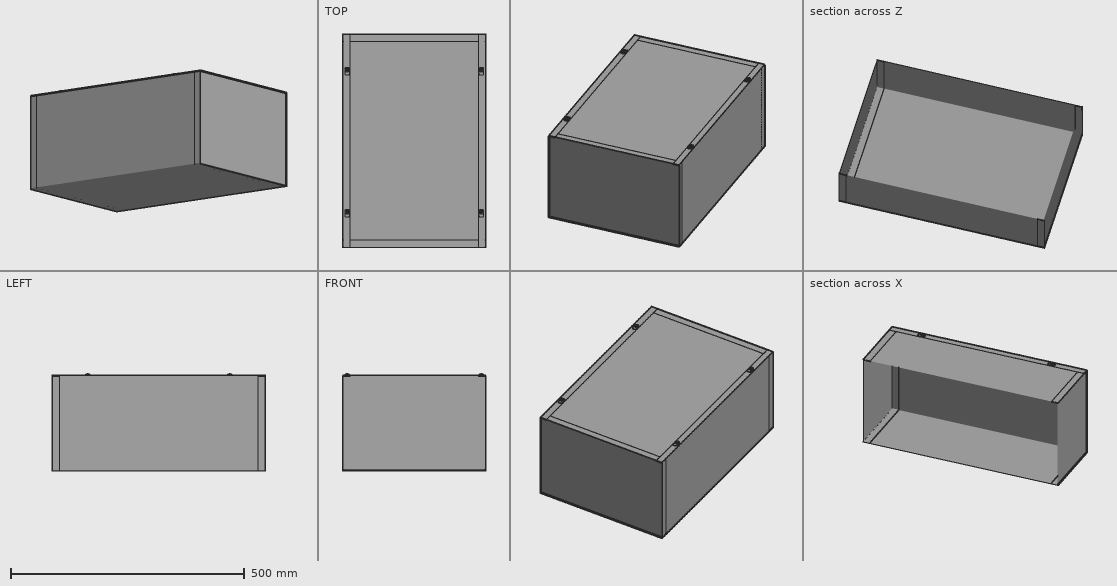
import cadquery as cq
import math

BOX_WIDTH = 308.0
BOX_LENGTH = 457.0
OVERALL_HEIGHT = 209.0
SHEET = 1.5
WRAPPER_BEND = 2.5
PANEL_BEND = 2.0
PANEL_LIFT = 0.5
FLANGE = 16.0

HEAD_DIAMETER = 9.5
HEAD_HEIGHT = 2.7
HEAD_RIM = 0.7
SHANK_DIAMETER = 3.75
SHANK_REACH = 4.5
CROSS_WIDTH = 0.5
CROSS_LENGTH = 7.5
CROSS_DEPTH = 1.5
SCREW_X = 144.0
SCREW_Y = 152.2

HOLE_DIAMETER = 4.15
SLOT_WIDTH = 9.5
SLOT_LENGTH = 16.0
SLOT_CORNER_RADIUS = 2.7

COVER_TOP = OVERALL_HEIGHT - HEAD_HEIGHT
BOX_HEIGHT = COVER_TOP - SHEET
COVER_INSET = 1.6
COVER_WIDTH = BOX_WIDTH - 2 * COVER_INSET
SCREW_POINTS = [(x, y) for x in (-SCREW_X, SCREW_X) for y in (-SCREW_Y, SCREW_Y)]


def block(width, length, height, bottom):
    """A box centred on the Z axis, standing on the level `bottom`."""
    return cq.Workplane("XY").workplane(offset=bottom).box(width, length, height, centered=(True, True, False))


def make_wrapper():
    """The sheet folded into the floor, the two long sides and their return flanges."""
    outside = block(BOX_WIDTH, BOX_LENGTH, BOX_HEIGHT, 0).edges("|Y").fillet(WRAPPER_BEND)
    inside = block(BOX_WIDTH - 2 * SHEET, BOX_LENGTH, BOX_HEIGHT - 2 * SHEET, SHEET)
    inside = inside.edges("|Y").fillet(WRAPPER_BEND - SHEET)
    opening = block(BOX_WIDTH - 2 * FLANGE, BOX_LENGTH, 2 * SHEET, BOX_HEIGHT - 2 * SHEET)
    holes = (
        cq.Workplane("XY")
        .workplane(offset=BOX_HEIGHT - 2 * SHEET)
        .pushPoints(SCREW_POINTS)
        .circle(HOLE_DIAMETER / 2)
        .extrude(2 * SHEET)
    )
    return outside.cut(inside).cut(opening).cut(holes)


def make_end_panel(wrapper):
    """The tray closing the -Y end: a plate with four flanges folded inwards."""
    middle = (FLANGE - BOX_LENGTH) / 2
    bottom = SHEET + PANEL_LIFT
    height = BOX_HEIGHT - bottom
    tray = block(BOX_WIDTH - 2 * SHEET, FLANGE, height, bottom)
    tray = tray.edges("|Y or <Y").fillet(PANEL_BEND)
    hollow = block(BOX_WIDTH - 4 * SHEET, FLANGE, height - 2 * SHEET, bottom + SHEET)
    hollow = hollow.edges("|Y or <Y").fillet(PANEL_BEND - SHEET).translate((0, SHEET, 0))
    return tray.cut(hollow).translate((0, middle, 0)).cut(wrapper)


def make_cover():
    """The flat cover with a slot at each screw, reaching from the screw towards -Y."""
    slot_shift = (HEAD_DIAMETER - SLOT_LENGTH) / 2
    slots = (
        cq.Workplane("XY")
        .workplane(offset=BOX_HEIGHT)
        .pushPoints([(x, y + slot_shift) for x, y in SCREW_POINTS])
        .rect(SLOT_WIDTH, SLOT_LENGTH)
        .extrude(SHEET)
        .edges("|Z")
        .fillet(SLOT_CORNER_RADIUS)
    )
    return block(COVER_WIDTH, BOX_LENGTH, SHEET, BOX_HEIGHT).cut(slots)


def make_screw(x, y):
    """A screw with a domed head and a cross recess; its head stands just above the cover."""
    radius = HEAD_DIAMETER / 2
    dome_height = HEAD_HEIGHT - HEAD_RIM
    dome_radius = (radius**2 + dome_height**2) / (2 * dome_height)
    half_chord = math.sqrt(dome_radius**2 - (dome_radius - dome_height / 2) ** 2)
    head = (
        cq.Workplane("XZ")
        .moveTo(0, COVER_TOP)
        .lineTo(radius, COVER_TOP)
        .lineTo(radius, COVER_TOP + HEAD_RIM)
        .threePointArc((half_chord, OVERALL_HEIGHT - dome_height / 2), (0, OVERALL_HEIGHT))
        .close()
        .revolve(360, (0, 0), (0, 1))
    )
    shank_bottom = BOX_HEIGHT - SHEET - SHANK_REACH
    shank = (
        cq.Workplane("XY")
        .workplane(offset=shank_bottom)
        .circle(SHANK_DIAMETER / 2)
        .extrude(COVER_TOP - shank_bottom)
    )
    recess_floor = OVERALL_HEIGHT - CROSS_DEPTH
    cross = block(CROSS_WIDTH, CROSS_LENGTH, CROSS_DEPTH, recess_floor)
    cross = cross.union(block(CROSS_LENGTH, CROSS_WIDTH, CROSS_DEPTH, recess_floor))
    return head.union(shank).cut(cross).translate((x, y, 0))


wrapper = make_wrapper()
front_panel = make_end_panel(wrapper)
back_panel = front_panel.mirror("XZ")
cover = make_cover()
screws = [make_screw(x, y) for x, y in SCREW_POINTS]

result = cq.Compound.makeCompound(
    [wrapper.val(), front_panel.val(), back_panel.val(), cover.val(), *[screw.val() for screw in screws]]
)